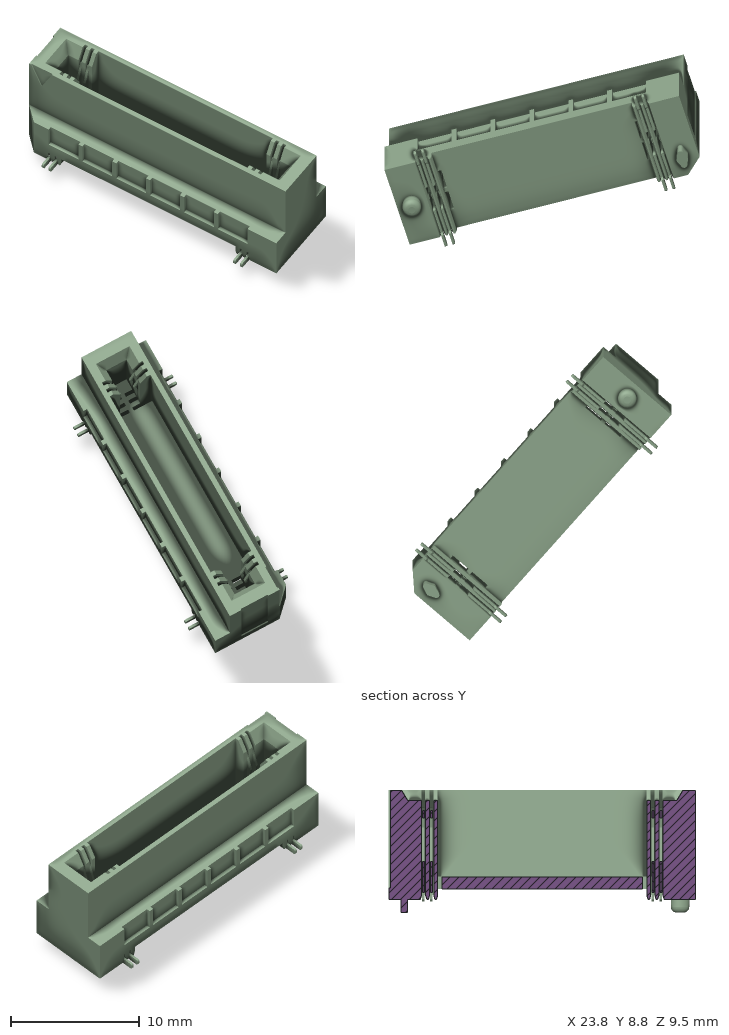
import cadquery as cq


LENGTH = 23.82
BASE_WIDTH = 7.0
BASE_HEIGHT = 3.6
TOWER_WIDTH = 4.4
HEIGHT = 8.5
KEY_CHAMFER = (BASE_WIDTH - TOWER_WIDTH) / 2
UNDERSIDE_LIFT = 0.8

WINDOW_COUNT = 6
WINDOW_PITCH = 3.15
WINDOW_LENGTH = 2.76
WINDOW_SILL = 1.8
WINDOW_DEPTH = 0.3

POCKET_LENGTH = 21.8
POCKET_MOUTH_WIDTH = 2.98
LEAD_IN_INSET = 0.6
LEAD_IN_DEPTH = 1.0
BAY_WIDTH = 3.6
FLOOR_LEVEL = WINDOW_SILL

SLOT_WIDTH = 0.29
SLOT_PITCH = WINDOW_PITCH / 5
SLOT_INNER_Y = 0.179
SLOT_OUTER_Y = BAY_WIDTH / 2
INNER_SLOT_X = 7.95
SLOTS_PER_GROUP = 3
SLOT_XS = [INNER_SLOT_X + i * SLOT_PITCH for i in range(SLOTS_PER_GROUP)]
BAY_LENGTH = 2 * (INNER_SLOT_X + SLOT_WIDTH / 2)

NOTCH_FLARE_HEIGHT = 0.35
NOTCH_FLARE_WIDTH = 0.5

MARK_DEPTH = 0.1
TRIANGLE_X = -10.77
TRIANGLE_WIDTH = 1.95
TRIANGLE_HEIGHT = 2.0
PANEL_WIDTH = 2.38
PANEL_BOTTOM = 0.93

PEG_HEIGHT = 1.0
PEG_X = 10.72
ROUND_PEG_DIAMETER = 1.43
ROUND_PEG_FILLET = 0.43
DIAMOND_PEG_Y = -1.5
DIAMOND_PEG_LENGTH = 1.52
DIAMOND_PEG_WIDTH = 0.9
DIAMOND_PEG_RADIUS = 0.25

CONTACT_THICKNESS = 0.2
CONTACT_XS = SLOT_XS[1:]
OVERALL_WIDTH = 8.8
TAIL_END_Y = OVERALL_WIDTH / 2
TAIL_TOP = 0.3
TAIL_BOTTOM = -0.17
TAIL_RADIUS = 0.17
TAIL_STEP_Y = 3.3
SHOULDER_OUTER_Y = 3.15
SHOULDER_INNER_Y = 1.48
SHOULDER_TOP = UNDERSIDE_LIFT
SHOULDER_RADIUS = 0.15
BEAM_THICKNESS = 0.21
BEAM_ROOT_Y = 1.07
BEAM_KNEE_Y = 0.55
BEAM_KNEE_Z = 5.6
BEAM_TIP_Y = 1.05
BEAM_TIP_Z = 7.03

ENDS = (-1, 1)
SIDES = (-1, 1)


def block(x_range, y_range, z_range):
    """Box between the given limits along X, Y and Z."""
    (x0, x1), (y0, y1), (z0, z1) = x_range, y_range, z_range
    return cq.Workplane("XY").box(x1 - x0, y1 - y0, z1 - z0, centered=False).translate((x0, y0, z0))


def centred_block(length, width, z_range):
    """Box centred on the Z axis between two levels."""
    return block((-length / 2, length / 2), (-width / 2, width / 2), z_range)


def housing_blank():
    base = centred_block(LENGTH, BASE_WIDTH, (0, BASE_HEIGHT))
    base = base.edges("|Z and <X and <Y").chamfer(KEY_CHAMFER)
    tower = centred_block(LENGTH, TOWER_WIDTH, (0, HEIGHT))
    lift = centred_block(BAY_LENGTH, BASE_WIDTH, (0, UNDERSIDE_LIFT))
    return base.union(tower).cut(lift)


def side_windows():
    """Shallow windows, open at the top, along both long sides of the base."""
    windows = cq.Workplane("XY")
    middle_y = (BASE_WIDTH - WINDOW_DEPTH) / 2
    for i in range(WINDOW_COUNT):
        x = (i - (WINDOW_COUNT - 1) / 2) * WINDOW_PITCH
        window = centred_block(WINDOW_LENGTH, WINDOW_DEPTH, (WINDOW_SILL, BASE_HEIGHT))
        for side in SIDES:
            windows = windows.add(window.translate((x, side * middle_y, 0)))
    return windows.combine()


def cavity():
    """Pocket with a sloped lead-in, joined to the wide bay."""
    floor_length = POCKET_LENGTH - 2 * LEAD_IN_INSET
    floor_width = POCKET_MOUTH_WIDTH - 2 * LEAD_IN_INSET
    pocket = centred_block(floor_length, floor_width, (FLOOR_LEVEL, HEIGHT))
    lead_in = (
        cq.Workplane("XY", origin=(0, 0, HEIGHT - LEAD_IN_DEPTH))
        .rect(floor_length, floor_width)
        .workplane(offset=LEAD_IN_DEPTH)
        .rect(POCKET_LENGTH, POCKET_MOUTH_WIDTH)
        .loft(ruled=True)
    )
    bay = centred_block(BAY_LENGTH, BAY_WIDTH, (FLOOR_LEVEL, HEIGHT))
    return pocket.union(lead_in).union(bay)


def contact_slot(x, side):
    """Slot for one contact, running through the full height of the housing."""
    depth = SLOT_OUTER_Y - SLOT_INNER_Y
    slot = centred_block(SLOT_WIDTH, depth, (0, HEIGHT))
    return slot.translate((x, side * (SLOT_INNER_Y + SLOT_OUTER_Y) / 2, 0))


def tail_notch(x):
    """Notch across the whole underside that leads a facing pair of contact tails out of the base."""
    half_throat = CONTACT_THICKNESS / 2
    half_slot = SLOT_WIDTH / 2
    half_flare = NOTCH_FLARE_WIDTH / 2
    outline = [
        (-half_flare, 0),
        (-half_slot, NOTCH_FLARE_HEIGHT),
        (-half_throat, NOTCH_FLARE_HEIGHT),
        (-half_throat, UNDERSIDE_LIFT),
        (half_throat, UNDERSIDE_LIFT),
        (half_throat, NOTCH_FLARE_HEIGHT),
        (half_slot, NOTCH_FLARE_HEIGHT),
        (half_flare, 0),
    ]
    notch = cq.Workplane("XZ").polyline(outline).close().extrude(BASE_WIDTH / 2, both=True)
    return notch.translate((x, 0, 0))


def triangle_mark():
    """Shallow triangle at the top of the -Y wall, pointing down beside the keyed corner."""
    face_y = -TOWER_WIDTH / 2
    return (
        cq.Workplane("XZ", origin=(TRIANGLE_X, face_y + MARK_DEPTH, 0))
        .moveTo(-TRIANGLE_WIDTH / 2, HEIGHT)
        .lineTo(TRIANGLE_WIDTH / 2, HEIGHT)
        .lineTo(0, HEIGHT - TRIANGLE_HEIGHT)
        .close()
        .extrude(MARK_DEPTH)
    )


def end_panel():
    """Shallow recess in the -X end, open at the top."""
    end_x = -LENGTH / 2
    half_width = PANEL_WIDTH / 2
    return block((end_x, end_x + MARK_DEPTH), (-half_width, half_width), (PANEL_BOTTOM, HEIGHT))


def round_peg():
    peg = cq.Workplane("XY").circle(ROUND_PEG_DIAMETER / 2).extrude(-PEG_HEIGHT)
    return peg.faces("<Z").edges().fillet(ROUND_PEG_FILLET).translate((PEG_X, 0, 0))


def diamond_peg():
    """Peg with a rhombus section whose four corners are rounded."""
    half_width = DIAMOND_PEG_WIDTH / 2 - DIAMOND_PEG_RADIUS
    half_length = DIAMOND_PEG_LENGTH / 2 - DIAMOND_PEG_RADIUS
    return (
        cq.Workplane("XY", origin=(-PEG_X, DIAMOND_PEG_Y, 0))
        .polyline([(half_width, 0), (0, half_length), (-half_width, 0), (0, -half_length)])
        .close()
        .offset2D(DIAMOND_PEG_RADIUS, "arc")
        .extrude(-PEG_HEIGHT)
    )


def make_housing():
    body = housing_blank().cut(side_windows()).cut(cavity())
    for end in ENDS:
        for x in SLOT_XS:
            body = body.cut(tail_notch(end * x))
            for side in SIDES:
                body = body.cut(contact_slot(end * x, side))
    body = body.cut(triangle_mark()).cut(end_panel())
    return body.union(round_peg()).union(diamond_peg())


def make_contact(x, side):
    """Flat blade: a tail, a shoulder that fits the notch throat, and a bent spring beam with a round tip."""
    beam_outer_root_y = BEAM_ROOT_Y + BEAM_THICKNESS
    step_height = -TAIL_BOTTOM
    shoulder_side_z = SHOULDER_TOP - SHOULDER_RADIUS
    blade = (
        cq.Workplane("YZ")
        .moveTo(BEAM_ROOT_Y, 0)
        .lineTo(TAIL_STEP_Y - step_height, 0)
        .lineTo(TAIL_STEP_Y, TAIL_BOTTOM)
        .lineTo(TAIL_END_Y - TAIL_RADIUS, TAIL_BOTTOM)
        .radiusArc((TAIL_END_Y, TAIL_BOTTOM + TAIL_RADIUS), -TAIL_RADIUS)
        .lineTo(TAIL_END_Y, TAIL_TOP - TAIL_RADIUS)
        .radiusArc((TAIL_END_Y - TAIL_RADIUS, TAIL_TOP), -TAIL_RADIUS)
        .lineTo(SHOULDER_OUTER_Y, TAIL_TOP)
        .lineTo(SHOULDER_OUTER_Y, shoulder_side_z)
        .radiusArc((SHOULDER_OUTER_Y - SHOULDER_RADIUS, SHOULDER_TOP), -SHOULDER_RADIUS)
        .lineTo(SHOULDER_INNER_Y + SHOULDER_RADIUS, SHOULDER_TOP)
        .radiusArc((SHOULDER_INNER_Y, shoulder_side_z), -SHOULDER_RADIUS)
        .lineTo(SHOULDER_INNER_Y, TAIL_TOP)
        .lineTo(beam_outer_root_y, TAIL_TOP)
        .lineTo(BEAM_KNEE_Y + BEAM_THICKNESS, BEAM_KNEE_Z)
        .lineTo(BEAM_TIP_Y + BEAM_THICKNESS, BEAM_TIP_Z)
        .radiusArc((BEAM_TIP_Y, BEAM_TIP_Z), -BEAM_THICKNESS / 2)
        .lineTo(BEAM_KNEE_Y, BEAM_KNEE_Z)
        .close()
        .extrude(CONTACT_THICKNESS / 2, both=True)
    )
    if side < 0:
        blade = blade.mirror("XZ")
    return blade.translate((x, 0, 0))


housing = make_housing()
contacts = [
    make_contact(end * x, side).val()
    for end in ENDS
    for side in SIDES
    for x in CONTACT_XS
]
result = cq.Compound.makeCompound([housing.val(), *contacts])